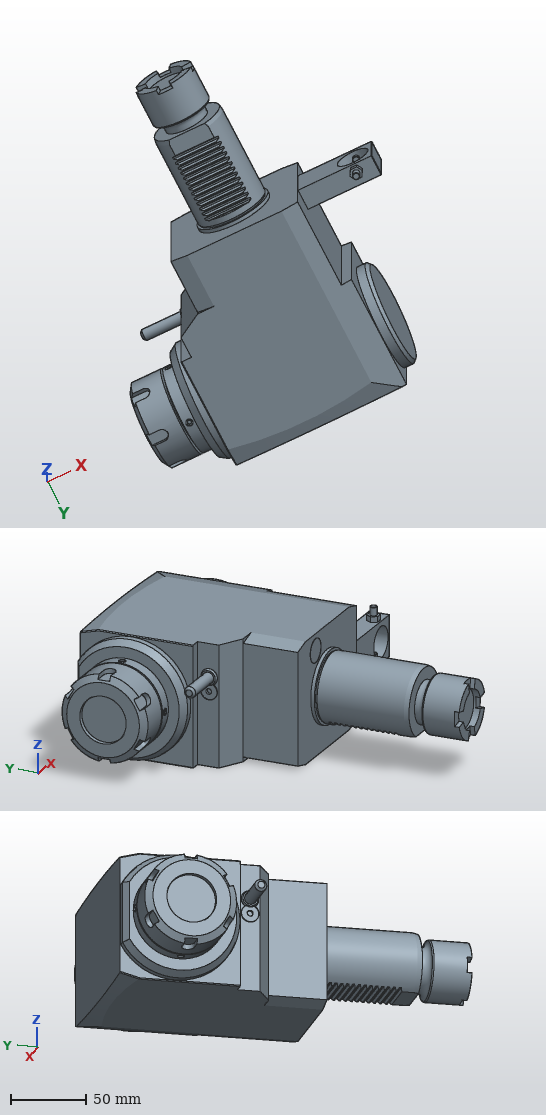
import cadquery as cq
import math


HOUSING_HEIGHT = 88.0
HALF_HEIGHT = HOUSING_HEIGHT / 2
HOUSING_BACK = 148.0
HEAD_LEFT = -72.3
HEAD_RIGHT = 54.7
HEAD_FRONT = 65.5
BODY_SIDE = 47.2
STEP_LEFT = -64.5
STEP_FRONT = 50.0
BODY_LEFT_BACK = 40.0
BEVEL_SLOPE = math.tan(math.radians(15))
RIGHT_BEVEL_START = 35.2
LEFT_BEVEL_START = -34.9
BACK_CONE_RADIUS = 276.0
BACK_CONE_X = -18.0
BACK_CONE_TOP_Y = 140.0
HEAD_EDGE_CHAMFER = 0.7
PLUG_RADIUS = 8.6
PLUG_X = -18.3
PLUG_Z = 31.8
PLUG_DEPTH = 0.2

SPINDLE_Y = 110.0
FLANGE_END = -83.0
FLANGE_CHAMFER_END = -77.3
FLANGE_RADIUS = 43.0
FLANGE_END_RADIUS = 39.4
FLANGE_TRIM_Y = 147.5
COLLAR_END = -92.3
NUT_BACK = -93.9
NUT_FRONT = -119.0
NUT_CHAMFER_END = -115.8
NUT_RADIUS = 31.5
NUT_FACE_RADIUS = 26.6
NECK_RADIUS = 25.0
NUT_BORE_RADIUS = 17.0
NUT_BORE_DEPTH = 3.4
WRENCH_SLOT_COUNT = 6
WRENCH_SLOT_WIDTH = 8.5
WRENCH_SLOT_END = -104.2
WRENCH_SLOT_FLOOR = 28.0
SET_SCREW_COUNT = 4
SET_SCREW_X = -88.1
SET_SCREW_RADIUS = 2.4
SET_SCREW_DEPTH = 1.0
SET_SCREW_SOCKET_RADIUS = 1.4
SET_SCREW_SOCKET_DEPTH = 2.0
COVER_RADIUS = 37.2
COVER_END = 63.6
COVER_CHAMFER = 2.4

SHANK_RADIUS = 25.0
SHANK_COLLAR_RADIUS = 26.4
SHANK_COLLAR_LENGTH = 2.6
SHANK_START = 4.0
SHANK_LENGTH = 71.0
SHANK_CHAMFER_LENGTH = 3.3
SHANK_CHAMFER_DEPTH = 0.7
DRIVE_NECK_RADIUS = 15.4
DRIVE_START = 78.7
DRIVE_RADIUS = 21.0
DRIVE_FILLET = 4.5
DRIVE_EDGE_LENGTH = 1.0
DRIVE_EDGE_DEPTH = 0.5
DRIVE_END = 106.0
DRIVE_BORE_RADIUS = 14.0
CLAW_DEPTH = 3.3
DRIVE_BORE_DEPTH = 5.0
CLAW_SLOT_COUNT = 4
CLAW_SLOT_INNER_HALF = 4.0
CLAW_SLOT_OUTER_HALF = 5.5
FLAT_Z = -20.4
FLAT_START = 8.4
TOOTH_PITCH = 4.0
TOOTH_GAP_COUNT = 13
FIRST_GAP = 9.6
GAP_DEPTH = 2.0
GAP_FLOOR_WIDTH = 1.2
GAP_MOUTH_WIDTH = 3.2

PIN_Y = 57.0
PIN_Z = 20.0
PIN_RADIUS = 4.1
PIN_END = -97.0
PIN_CHAMFER = 1.7
SEAT_RADIUS = 6.0
SEAT_TOP_RADIUS = 5.2
SEAT_HEIGHT = 1.8
PORT_Z = 10.0
PORT_HEIGHT = 0.8
PORT_HOLE_RADIUS = 2.0
PORT_HOLE_DEPTH = 2.0

BRACKET_END = 102.1
BRACKET_FRONT = 0.6
BRACKET_BACK = 15.6
BRACKET_HALF_HEIGHT = 15.0
BRACKET_CHAMFER = 0.5
BRACKET_HOLE_X = 87.8
BRACKET_HOLE_RADIUS = 11.4
SCREW_Y = 6.0
SCREW_RADIUS = 2.5
SCREW_INNER = 8.5
SCREW_OUTER = 25.2
SCREW_CHAMFER = 0.4
HEX_FLATS = 8.0
HEX_HEIGHT = 4.0


def revolve_about_spindle(points):
    """Revolve an (x, radius) outline about the spindle axis."""
    outline = [(x, SPINDLE_Y + radius) for x, radius in points]
    return cq.Workplane("XY").polyline(outline).close().revolve(360, (0, SPINDLE_Y, 0), (1, SPINDLE_Y, 0))


def x_cylinder(radius, x_start, length, y, z):
    return cq.Workplane("YZ", origin=(x_start, y, z)).circle(radius).extrude(length)


def make_housing():
    plan = [
        (-BODY_SIDE, 0),
        (BODY_SIDE, 0),
        (BODY_SIDE, HEAD_FRONT),
        (HEAD_RIGHT, HEAD_FRONT),
        (HEAD_RIGHT, HOUSING_BACK),
        (HEAD_LEFT, HOUSING_BACK),
        (HEAD_LEFT, HEAD_FRONT),
        (STEP_LEFT, HEAD_FRONT),
        (STEP_LEFT, STEP_FRONT),
        (-BODY_SIDE, BODY_LEFT_BACK),
    ]
    base = cq.Workplane("XY").workplane(offset=-HALF_HEIGHT)
    housing = base.polyline(plan).close().extrude(HOUSING_HEIGHT)

    bevel_reach = HALF_HEIGHT
    rim = BACK_CONE_RADIUS + bevel_reach
    rim_half = HALF_HEIGHT - bevel_reach * BEVEL_SLOPE
    bevel_outline = [
        (0, -HALF_HEIGHT),
        (BACK_CONE_RADIUS, -HALF_HEIGHT),
        (rim, -rim_half),
        (rim, rim_half),
        (BACK_CONE_RADIUS, HALF_HEIGHT),
        (0, HALF_HEIGHT),
    ]
    cone_origin = (BACK_CONE_X, BACK_CONE_TOP_Y - BACK_CONE_RADIUS, 0)
    bevel_profile = cq.Workplane("XZ", origin=cone_origin).polyline(bevel_outline).close()
    housing = housing.intersect(bevel_profile.revolve(360, (0, 0), (0, 1)))

    right_drop = (HEAD_RIGHT - RIGHT_BEVEL_START) * BEVEL_SLOPE
    left_drop = (BODY_SIDE + LEFT_BEVEL_START) * BEVEL_SLOPE
    for side in (1, -1):
        top = side * HALF_HEIGHT
        right_wedge = [(RIGHT_BEVEL_START, top), (HEAD_RIGHT, top), (HEAD_RIGHT, top - side * right_drop)]
        left_wedge = [(LEFT_BEVEL_START, top), (-BODY_SIDE, top), (-BODY_SIDE, top - side * left_drop)]
        housing = housing.cut(cq.Workplane("XZ").polyline(right_wedge).close().extrude(-HOUSING_BACK))
        housing = housing.cut(cq.Workplane("XZ").polyline(left_wedge).close().extrude(-BODY_LEFT_BACK))

    housing = housing.faces("<X").edges("not |Z").chamfer(HEAD_EDGE_CHAMFER)
    plug = cq.Workplane("XZ").center(PLUG_X, PLUG_Z).circle(PLUG_RADIUS).extrude(-PLUG_DEPTH)
    return housing.cut(plug)


def make_flange():
    flange = revolve_about_spindle([
        (HEAD_LEFT, 0),
        (HEAD_LEFT, FLANGE_RADIUS),
        (FLANGE_CHAMFER_END, FLANGE_RADIUS),
        (FLANGE_END, FLANGE_END_RADIUS),
        (FLANGE_END, 0),
    ])
    rim_chamfer = FLANGE_RADIUS - FLANGE_END_RADIUS
    trim = [
        (HEAD_LEFT, FLANGE_TRIM_Y),
        (FLANGE_CHAMFER_END, FLANGE_TRIM_Y),
        (FLANGE_END, FLANGE_TRIM_Y - rim_chamfer),
        (FLANGE_END, SPINDLE_Y - FLANGE_RADIUS),
        (HEAD_LEFT, SPINDLE_Y - FLANGE_RADIUS),
    ]
    keep = cq.Workplane("XY").polyline(trim).close().extrude(FLANGE_RADIUS, both=True)
    return flange.intersect(keep)


def make_collet_nut():
    nut = revolve_about_spindle([
        (FLANGE_END, 0),
        (FLANGE_END, NUT_RADIUS),
        (COLLAR_END, NUT_RADIUS),
        (COLLAR_END, NECK_RADIUS),
        (NUT_BACK, NECK_RADIUS),
        (NUT_BACK, NUT_RADIUS),
        (NUT_CHAMFER_END, NUT_RADIUS),
        (NUT_FRONT, NUT_FACE_RADIUS),
        (NUT_FRONT, NUT_BORE_RADIUS),
        (NUT_FRONT + NUT_BORE_DEPTH, NUT_BORE_RADIUS),
        (NUT_FRONT + NUT_BORE_DEPTH, 0),
    ])
    spindle_start = (0, SPINDLE_Y, 0)
    spindle_end = (1, SPINDLE_Y, 0)

    round_center = WRENCH_SLOT_END - WRENCH_SLOT_WIDTH / 2
    slot_length = round_center - NUT_FRONT
    slot_depth = NUT_RADIUS - WRENCH_SLOT_FLOOR
    floor_plane = cq.Workplane("XY", origin=(round_center, SPINDLE_Y, WRENCH_SLOT_FLOOR))
    slot = floor_plane.circle(WRENCH_SLOT_WIDTH / 2).extrude(slot_depth)
    straight = floor_plane.center(-slot_length / 2, 0).rect(slot_length, WRENCH_SLOT_WIDTH)
    slot = slot.union(straight.extrude(slot_depth))
    for index in range(WRENCH_SLOT_COUNT):
        nut = nut.cut(slot.rotate(spindle_start, spindle_end, index * 360 / WRENCH_SLOT_COUNT))

    screw_plane = cq.Workplane("XY", origin=(SET_SCREW_X, SPINDLE_Y, NUT_RADIUS))
    screw_hole = screw_plane.circle(SET_SCREW_RADIUS).extrude(-SET_SCREW_DEPTH)
    screw_socket = screw_plane.circle(SET_SCREW_SOCKET_RADIUS).extrude(-SET_SCREW_SOCKET_DEPTH)
    screw_hole = screw_hole.union(screw_socket)
    for index in range(SET_SCREW_COUNT):
        nut = nut.cut(screw_hole.rotate(spindle_start, spindle_end, index * 360 / SET_SCREW_COUNT))
    return nut


def make_cover():
    cover = x_cylinder(COVER_RADIUS, HEAD_RIGHT, COVER_END - HEAD_RIGHT, SPINDLE_Y, 0)
    return cover.faces(">X").chamfer(COVER_CHAMFER)


def make_shank():
    shank_end_radius = SHANK_RADIUS - SHANK_CHAMFER_DEPTH
    fillet_start = DRIVE_START - DRIVE_FILLET
    fillet_reach = DRIVE_FILLET * math.sin(math.radians(45))
    fillet_middle = (
        DRIVE_NECK_RADIUS + DRIVE_FILLET - fillet_reach,
        -(fillet_start + fillet_reach),
    )
    shank = (
        cq.Workplane("XY")
        .moveTo(0, 0)
        .lineTo(SHANK_COLLAR_RADIUS, 0)
        .lineTo(SHANK_COLLAR_RADIUS, -SHANK_COLLAR_LENGTH)
        .lineTo(shank_end_radius, -SHANK_COLLAR_LENGTH)
        .lineTo(SHANK_RADIUS, -SHANK_START)
        .lineTo(SHANK_RADIUS, -(SHANK_LENGTH - SHANK_CHAMFER_LENGTH))
        .lineTo(shank_end_radius, -SHANK_LENGTH)
        .lineTo(DRIVE_NECK_RADIUS, -SHANK_LENGTH)
        .lineTo(DRIVE_NECK_RADIUS, -fillet_start)
        .threePointArc(fillet_middle, (DRIVE_NECK_RADIUS + DRIVE_FILLET, -DRIVE_START))
        .lineTo(DRIVE_RADIUS - DRIVE_EDGE_DEPTH, -DRIVE_START)
        .lineTo(DRIVE_RADIUS, -(DRIVE_START + DRIVE_EDGE_LENGTH))
        .lineTo(DRIVE_RADIUS, -DRIVE_END)
        .lineTo(DRIVE_BORE_RADIUS, -DRIVE_END)
        .lineTo(DRIVE_BORE_RADIUS, -(DRIVE_END - DRIVE_BORE_DEPTH))
        .lineTo(0, -(DRIVE_END - DRIVE_BORE_DEPTH))
        .close()
        .revolve(360, (0, 0, 0), (0, 1, 0))
    )

    slot_outline = [
        (-CLAW_SLOT_INNER_HALF, 0),
        (-CLAW_SLOT_INNER_HALF, DRIVE_BORE_RADIUS),
        (-CLAW_SLOT_OUTER_HALF, DRIVE_RADIUS),
        (CLAW_SLOT_OUTER_HALF, DRIVE_RADIUS),
        (CLAW_SLOT_INNER_HALF, DRIVE_BORE_RADIUS),
        (CLAW_SLOT_INNER_HALF, 0),
    ]
    claw_plane = cq.Workplane("XZ", origin=(0, -(DRIVE_END - CLAW_DEPTH), 0))
    claw_slot = claw_plane.polyline(slot_outline).close().extrude(CLAW_DEPTH)
    for index in range(CLAW_SLOT_COUNT):
        shank = shank.cut(claw_slot.rotate((0, 0, 0), (0, 1, 0), index * 360 / CLAW_SLOT_COUNT))

    flat_depth = SHANK_RADIUS + FLAT_Z
    flat_cut = cq.Workplane("XY").box(
        2 * SHANK_RADIUS, SHANK_LENGTH - FLAT_START, flat_depth, centered=(True, False, False)
    )
    shank = shank.cut(flat_cut.translate((0, -SHANK_LENGTH, -SHANK_RADIUS)))
    gap_floor = FLAT_Z + GAP_DEPTH
    for index in range(TOOTH_GAP_COUNT):
        middle = -(FIRST_GAP + index * TOOTH_PITCH)
        gap = [
            (middle - GAP_MOUTH_WIDTH / 2, FLAT_Z),
            (middle - GAP_FLOOR_WIDTH / 2, gap_floor),
            (middle + GAP_FLOOR_WIDTH / 2, gap_floor),
            (middle + GAP_MOUTH_WIDTH / 2, FLAT_Z),
        ]
        shank = shank.cut(cq.Workplane("YZ").polyline(gap).close().extrude(SHANK_RADIUS, both=True))
    return shank


def make_coolant_fittings():
    pin = x_cylinder(PIN_RADIUS, PIN_END, STEP_LEFT - PIN_END, PIN_Y, PIN_Z)
    pin = pin.faces("<X").chamfer(PIN_CHAMFER)
    seat = cq.Workplane("YZ", origin=(STEP_LEFT, PIN_Y, PIN_Z)).circle(SEAT_RADIUS)
    seat = seat.workplane(offset=-SEAT_HEIGHT).circle(SEAT_TOP_RADIUS).loft()
    port = x_cylinder(SEAT_RADIUS, STEP_LEFT - PORT_HEIGHT, PORT_HEIGHT, PIN_Y, PORT_Z)
    return pin.union(seat).union(port)


def make_port_hole():
    return x_cylinder(PORT_HOLE_RADIUS, STEP_LEFT - PORT_HEIGHT, PORT_HOLE_DEPTH, PIN_Y, PORT_Z)


def make_bracket():
    bracket = cq.Workplane("XY").box(
        BRACKET_END - BODY_SIDE,
        BRACKET_BACK - BRACKET_FRONT,
        2 * BRACKET_HALF_HEIGHT,
        centered=(False, False, True),
    )
    bracket = bracket.translate((BODY_SIDE, BRACKET_FRONT, 0))
    bracket = bracket.faces(">X").edges().chamfer(BRACKET_CHAMFER)
    hole_plane = cq.Workplane("XZ", origin=(BRACKET_HOLE_X, BRACKET_FRONT, 0))
    bracket = bracket.cut(hole_plane.circle(BRACKET_HOLE_RADIUS).extrude(BRACKET_FRONT - BRACKET_BACK))

    hex_corners = HEX_FLATS / math.cos(math.radians(30))
    axis = cq.Workplane("XY", origin=(BRACKET_HOLE_X, SCREW_Y, 0))
    screw = axis.workplane(offset=SCREW_INNER).circle(SCREW_RADIUS).extrude(SCREW_OUTER - SCREW_INNER)
    screw = screw.faces("<Z or >Z").chamfer(SCREW_CHAMFER)
    hex_nut = axis.workplane(offset=BRACKET_HALF_HEIGHT).polygon(6, hex_corners).extrude(HEX_HEIGHT)
    clamp = screw.union(hex_nut)
    return bracket.union(clamp).union(clamp.mirror("XY"))


result = (
    make_housing()
    .union(make_flange())
    .union(make_collet_nut())
    .union(make_cover())
    .union(make_shank())
    .union(make_coolant_fittings())
    .cut(make_port_hole())
    .union(make_bracket())
)